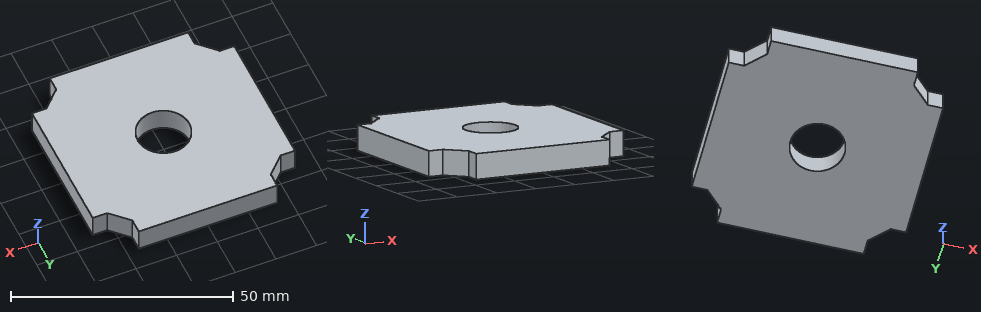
import cadquery as cq

side = 49.8
thickness = 6.0
hole_diameter = 12.6

notch_size = 7.85
notch_shoulder = 3.6


def corner_notch(angle):
    """Cutter for one plate corner, turned about the plate axis."""
    edge = side / 2
    inner = edge - notch_size
    shoulder = edge - notch_shoulder
    outline = [
        (edge, edge),
        (inner, edge),
        (inner, shoulder),
        (shoulder, inner),
        (edge, inner),
    ]
    cutter = cq.Workplane("XY").polyline(outline).close().extrude(thickness)
    return cutter.rotate((0, 0, 0), (0, 0, 1), angle)


plate = cq.Workplane("XY").rect(side, side).extrude(thickness)
for angle in (0, 90, 180, 270):
    plate = plate.cut(corner_notch(angle))

result = plate.faces(">Z").workplane().hole(hole_diameter)